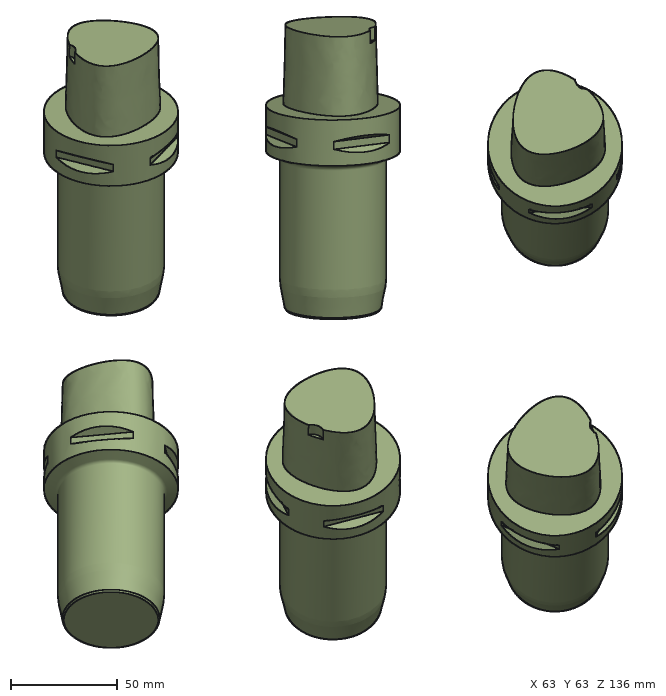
import cadquery as cq
import math

total_height = 136.0
flange_top = 98.0
flange_bottom = 76.0

body_radius = 50.0 / 2
flange_radius = 63.0 / 2
flange_cone_angle = math.radians(20)
neck_fillet_radius = 1.9
nose_blend_top = 15.0
nose_blend_radius = 21.8
nose_cone_angle = math.radians(10.5)
end_chamfer_height = 1.0
end_chamfer_width = 0.7

shank_mean_radius = 22.0
shank_eccentricity = 1.7
shank_taper = 1 / 20
outline_point_count = 48

notch_radius = 5.7
notch_depth = 6.3
notch_axis_offset = 23.5

slot_count = 4
slot_first_angle = 45
slot_center_height = 85.8
slot_floor_distance = 27.7
slot_floor_width = 3.7
slot_wall_angle = math.radians(30)


def turned_body():
    """Body, nose and flange as one revolved profile."""
    blend_end_radius = body_radius - nose_blend_radius * (1 - math.cos(nose_cone_angle))
    blend_end_height = nose_blend_top - nose_blend_radius * math.sin(nose_cone_angle)
    blend_mid_radius = body_radius - nose_blend_radius * (1 - math.cos(nose_cone_angle / 2))
    blend_mid_height = nose_blend_top - nose_blend_radius * math.sin(nose_cone_angle / 2)
    nose_drop = blend_end_height - end_chamfer_height
    nose_end_radius = blend_end_radius - nose_drop * math.tan(nose_cone_angle)

    fillet_sweep = math.pi / 2 - flange_cone_angle
    fillet_center_radius = body_radius + neck_fillet_radius
    neck_top_radius = fillet_center_radius - neck_fillet_radius * math.cos(fillet_sweep)
    cone_drop = (flange_radius - neck_top_radius) * math.tan(flange_cone_angle)
    neck_top = flange_bottom - cone_drop
    neck_bottom = neck_top - neck_fillet_radius * math.sin(fillet_sweep)
    neck_mid_radius = fillet_center_radius - neck_fillet_radius * math.cos(fillet_sweep / 2)
    neck_mid_height = neck_bottom + neck_fillet_radius * math.sin(fillet_sweep / 2)

    profile = (
        cq.Workplane("XZ")
        .moveTo(0, 0)
        .lineTo(nose_end_radius - end_chamfer_width, 0)
        .lineTo(nose_end_radius, end_chamfer_height)
        .lineTo(blend_end_radius, blend_end_height)
        .threePointArc((blend_mid_radius, blend_mid_height), (body_radius, nose_blend_top))
        .lineTo(body_radius, neck_bottom)
        .threePointArc((neck_mid_radius, neck_mid_height), (neck_top_radius, neck_top))
        .lineTo(flange_radius, flange_bottom)
        .lineTo(flange_radius, flange_top)
        .lineTo(0, flange_top)
        .close()
    )
    return profile.revolve(360, (0, 0, 0), (0, 1, 0))


def lobed_point(t, mean_radius):
    """Point on the three-lobed outline, with one lobe toward +Y; t runs from 0 to 1 counterclockwise."""
    angle = 2 * math.pi * t
    x = shank_eccentricity * math.sin(2 * angle) - mean_radius * math.sin(angle)
    y = mean_radius * math.cos(angle) + shank_eccentricity * math.cos(2 * angle)
    return x, y


def lobed_outline(mean_radius, height):
    """Closed smooth wire of the three-lobed outline at a given height."""
    points = []
    for index in range(outline_point_count):
        x, y = lobed_point(index / outline_point_count, mean_radius)
        points.append(cq.Vector(x, y, height))
    return cq.Wire.assembleEdges([cq.Edge.makeSpline(points, periodic=True)])


def tapered_shank():
    top_radius = shank_mean_radius - (total_height - flange_top) * shank_taper / 2
    lower_outline = lobed_outline(shank_mean_radius, flange_top)
    upper_outline = lobed_outline(top_radius, total_height)
    return cq.Workplane("XY").add(cq.Solid.makeLoft([lower_outline, upper_outline], True))


def shank_notch():
    return (
        cq.Workplane("XY", origin=(0, -notch_axis_offset, total_height - notch_depth))
        .circle(notch_radius)
        .extrude(notch_depth)
    )


def gripper_slot(angle):
    """Straight slot across the flange, flaring outward from a flat floor."""
    depth = flange_radius - slot_floor_distance
    floor_half = slot_floor_width / 2
    mouth_half = floor_half + depth * math.tan(slot_wall_angle)
    return (
        cq.Workplane("XZ", origin=(0, 0, slot_center_height))
        .moveTo(slot_floor_distance, -floor_half)
        .lineTo(flange_radius, -mouth_half)
        .lineTo(flange_radius, mouth_half)
        .lineTo(slot_floor_distance, floor_half)
        .close()
        .extrude(flange_radius, both=True)
        .rotate((0, 0, 0), (0, 0, 1), angle)
    )


result = turned_body().union(tapered_shank()).cut(shank_notch())
for slot_index in range(slot_count):
    result = result.cut(gripper_slot(slot_first_angle + slot_index * 360 / slot_count))